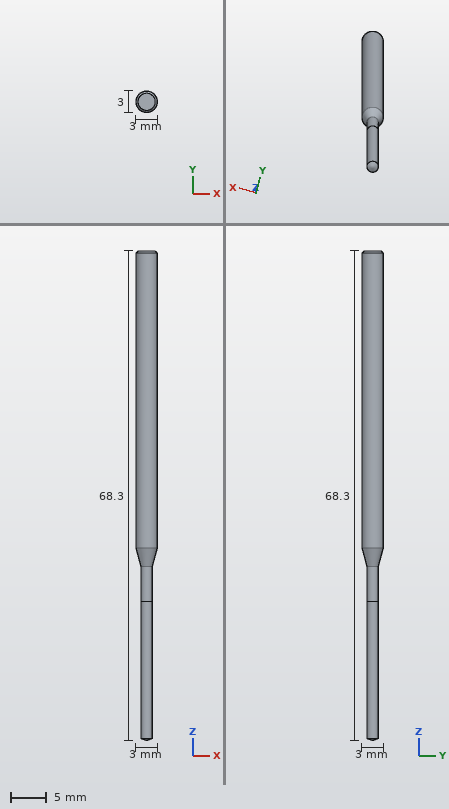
import cadquery as cq
import math


shank_diameter = 3.0
drill_diameter = 1.6
corner_to_shank_end = 68.0
cutting_length = 19.1
neck_length = 4.87
point_angle = 140.0
taper_half_angle = 15.0
end_chamfer = 0.3

shank_radius = shank_diameter / 2
drill_radius = drill_diameter / 2
point_height = drill_radius / math.tan(math.radians(point_angle / 2))
taper_height = (shank_radius - drill_radius) / math.tan(math.radians(taper_half_angle))
taper_bottom = cutting_length + neck_length
taper_top = taper_bottom + taper_height


def turned_body(profile):
    """Revolve a closed (radius, height) profile about the Z axis."""
    return cq.Workplane("XZ").polyline(profile).close().revolve(360, (0, 0, 0), (0, 1, 0))


def make_cutting_part():
    """Slender drill body with its conical point."""
    return turned_body([
        (0, -point_height),
        (drill_radius, 0),
        (drill_radius, cutting_length),
        (0, cutting_length),
    ])


def make_shank():
    """Neck, taper and cylindrical shank with a chamfered free end."""
    return turned_body([
        (0, cutting_length),
        (drill_radius, cutting_length),
        (drill_radius, taper_bottom),
        (shank_radius, taper_top),
        (shank_radius, corner_to_shank_end - end_chamfer),
        (shank_radius - end_chamfer, corner_to_shank_end),
        (0, corner_to_shank_end),
    ])


cutting_part = make_cutting_part()
shank = make_shank()

result = cq.Compound.makeCompound([cutting_part.val(), shank.val()])